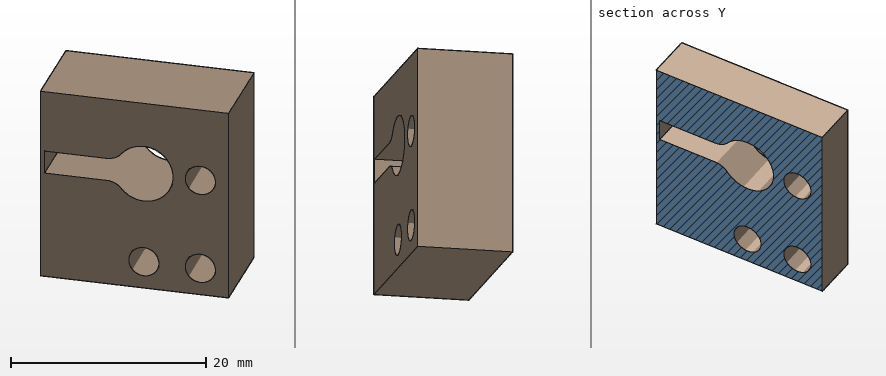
import cadquery as cq
import math

WIDTH = 20.0
DEPTH = 10.0
HEIGHT = 21.0

BORE_X = 11.0
BORE_Z = 13.0
BORE_RADIUS = 3.1
SLOT_HEIGHT = 2.5
SLOT_WALL = 0.45
BLEND_RADIUS = 2.0

HOLE_DIAMETER = 3.2
HOLE_SPACING_X = 6.0
HOLE_SPACING_Z = 10.0


def through_workplane():
    """XZ plane at the Y = DEPTH face, so extruding by DEPTH reaches Y = 0."""
    return cq.Workplane("XZ", origin=(0, DEPTH, 0))


def make_block():
    return cq.Workplane("XY").box(WIDTH, DEPTH, HEIGHT, centered=False)


def make_keyhole():
    """Bore and slot as one outline, joined by outward arcs tangent to both."""
    half_slot = SLOT_HEIGHT / 2
    centre_distance = BORE_RADIUS + BLEND_RADIUS
    centre_rise = half_slot + BLEND_RADIUS
    centre_x = BORE_X - math.sqrt(centre_distance**2 - centre_rise**2)

    bore_share = BORE_RADIUS / centre_distance
    tangent_x = BORE_X + (centre_x - BORE_X) * bore_share
    tangent_rise = centre_rise * bore_share

    tangent_angle = math.atan2(-centre_rise, BORE_X - centre_x)
    middle_angle = (tangent_angle - math.pi / 2) / 2
    middle_x = centre_x + BLEND_RADIUS * math.cos(middle_angle)
    middle_rise = centre_rise + BLEND_RADIUS * math.sin(middle_angle)

    return (
        through_workplane()
        .moveTo(SLOT_WALL, BORE_Z - half_slot)
        .lineTo(centre_x, BORE_Z - half_slot)
        .threePointArc((middle_x, BORE_Z - middle_rise), (tangent_x, BORE_Z - tangent_rise))
        .threePointArc((BORE_X + BORE_RADIUS, BORE_Z), (tangent_x, BORE_Z + tangent_rise))
        .threePointArc((middle_x, BORE_Z + middle_rise), (centre_x, BORE_Z + half_slot))
        .lineTo(SLOT_WALL, BORE_Z + half_slot)
        .close()
        .extrude(DEPTH)
    )


def make_holes():
    right_x = BORE_X + HOLE_SPACING_X
    lower_z = BORE_Z - HOLE_SPACING_Z
    centres = [(right_x, BORE_Z), (right_x, lower_z), (BORE_X, lower_z)]
    return through_workplane().pushPoints(centres).circle(HOLE_DIAMETER / 2).extrude(DEPTH)


result = make_block().cut(make_keyhole()).cut(make_holes())